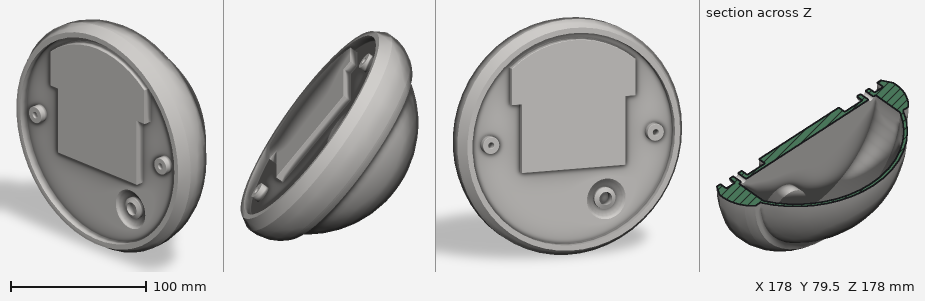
import cadquery as cq
import math


BEZEL_RADIUS = 89.0
BEZEL_ARC_RADIUS = 32.0
BEZEL_ARC_CENTER_Y = 11.5
RIM_RADIUS = 84.0
CHAMFER_Y = 8.3
SEAM_START_Y = 29.5
SEAM_END_Y = 31.0
FLANGE_Y = 35.3

TOTAL_DEPTH = 79.49
DOME_BASE_RADIUS = 146.21 / 2
DOME_WALL = 3.0
DOME_HEIGHT = TOTAL_DEPTH - FLANGE_Y
DOME_RADIUS = (DOME_BASE_RADIUS**2 + DOME_HEIGHT**2) / (2 * DOME_HEIGHT)
DOME_CENTER_Y = TOTAL_DEPTH - DOME_RADIUS

RECESS_RADIUS = 160.0 / 2
RECESS_FLOOR_FILLET = 0.6
PLATE_Y = 6.4
PLATE_THICKNESS = 3.0
PLATE_BACK_Y = PLATE_Y + PLATE_THICKNESS

DOOR_ARC_RADIUS = 74.9
DOOR_UPPER_HALF_WIDTH = 48.9
DOOR_LOWER_HALF_WIDTH = 40.9
DOOR_STEP_Z = 29.2
DOOR_BOTTOM_Z = -22.6
DOOR_FOOT_FILLET = 0.6

EDGE_ROUND = 0.3

SELECT_MARGIN = 0.1

POST_X = 65.0
POST_HEIGHT = 6.0
POST_TOP_RADIUS = 12.3 / 2
POST_RADIUS = POST_TOP_RADIUS + EDGE_ROUND
POST_HOLE_RADIUS = 4.6 / 2

DISH_X = 28.2
DISH_Z = -48.5
DISH_RIM_RADIUS = 15.3
DISH_LIP = 0.5
DISH_DEPTH = 5.5
DISH_WALL_BULGE = 0.6
CONE_BASE_RADIUS = 16.5 / 2
CONE_TOP_RADIUS = 10.0 / 2
CONE_TOP_DEPTH = 1.1
CONE_BASE_DEPTH = 2.7
BORE_DEPTH = 8.0
DISH_WALL = 3.0


def revolve_about_y(profile):
    return profile.close().revolve(360, (0, 0, 0), (0, 1, 0))


def cylinder_along_y(x, start_y, end_y, radius):
    """Cylinder from start_y to end_y, centered on (x, Z = 0)."""
    return cq.Workplane("XZ", origin=(x, end_y, 0)).circle(radius).extrude(end_y - start_y)


def bezel_point(y):
    """Point (radius, y) on the rounded side of the bezel."""
    rise = y - BEZEL_ARC_CENTER_Y
    return BEZEL_RADIUS - BEZEL_ARC_RADIUS + math.sqrt(BEZEL_ARC_RADIUS**2 - rise**2), y


def dome_point(sphere_radius, y):
    """Point (radius, y) on a sphere concentric with the dome."""
    return math.sqrt(sphere_radius**2 - (y - DOME_CENTER_Y) ** 2), y


def make_body():
    """Bezel and dome as one solid of revolution."""
    side_middle = bezel_point((CHAMFER_Y + SEAM_START_Y) / 2)
    flange_middle = bezel_point((SEAM_END_Y + FLANGE_Y) / 2)
    dome_middle = dome_point(DOME_RADIUS, FLANGE_Y + DOME_HEIGHT / 2)
    profile = (
        cq.Workplane("XY")
        .lineTo(RIM_RADIUS, 0)
        .lineTo(*bezel_point(CHAMFER_Y))
        .threePointArc(side_middle, bezel_point(SEAM_START_Y))
        .lineTo(*bezel_point(SEAM_END_Y))
        .threePointArc(flange_middle, bezel_point(FLANGE_Y))
        .lineTo(DOME_BASE_RADIUS, FLANGE_Y)
        .threePointArc(dome_middle, (0, TOTAL_DEPTH))
    )
    return revolve_about_y(profile)


def make_recess():
    return cylinder_along_y(0, 0, PLATE_Y, RECESS_RADIUS).faces(">Y").edges().fillet(RECESS_FLOOR_FILLET)


def make_cavity():
    """Hollow behind the plate: a cylinder that ends in the inside of the dome."""
    inner_radius = DOME_RADIUS - DOME_WALL
    edge = dome_point(inner_radius, FLANGE_Y)
    top_y = DOME_CENTER_Y + inner_radius
    middle = dome_point(inner_radius, (FLANGE_Y + top_y) / 2)
    profile = (
        cq.Workplane("XY")
        .moveTo(0, PLATE_BACK_Y)
        .lineTo(edge[0], PLATE_BACK_Y)
        .lineTo(*edge)
        .threePointArc(middle, (0, top_y))
    )
    return revolve_about_y(profile)


def foot_edges(x_range, z_range):
    """Selector for the edges on the plate's front face that lie within the given X and Z ranges."""
    low = (x_range[0] - SELECT_MARGIN, PLATE_Y - SELECT_MARGIN, z_range[0] - SELECT_MARGIN)
    high = (x_range[1] + SELECT_MARGIN, PLATE_Y + SELECT_MARGIN, z_range[1] + SELECT_MARGIN)
    return cq.selectors.BoxSelector(low, high, boundingbox=True)


def add_door(part):
    """Stepped panel with an arched top, a rounded front edge and a filleted foot."""
    corner_z = math.sqrt(DOOR_ARC_RADIUS**2 - DOOR_UPPER_HALF_WIDTH**2)
    door = (
        cq.Workplane("XZ", origin=(0, PLATE_Y, 0))
        .moveTo(-DOOR_LOWER_HALF_WIDTH, DOOR_BOTTOM_Z)
        .lineTo(DOOR_LOWER_HALF_WIDTH, DOOR_BOTTOM_Z)
        .lineTo(DOOR_LOWER_HALF_WIDTH, DOOR_STEP_Z)
        .lineTo(DOOR_UPPER_HALF_WIDTH, DOOR_STEP_Z)
        .lineTo(DOOR_UPPER_HALF_WIDTH, corner_z)
        .threePointArc((0, DOOR_ARC_RADIUS), (-DOOR_UPPER_HALF_WIDTH, corner_z))
        .lineTo(-DOOR_UPPER_HALF_WIDTH, DOOR_STEP_Z)
        .lineTo(-DOOR_LOWER_HALF_WIDTH, DOOR_STEP_Z)
        .close()
        .extrude(PLATE_Y)
        .faces("<Y")
        .edges()
        .fillet(EDGE_ROUND)
    )
    foot = foot_edges((-DOOR_UPPER_HALF_WIDTH, DOOR_UPPER_HALF_WIDTH), (DOOR_BOTTOM_Z, DOOR_ARC_RADIUS))
    return part.union(door).edges(foot).fillet(DOOR_FOOT_FILLET)


def add_post(part, x):
    """Post with a rounded top edge, a small flare at its foot and a hole with a rounded mouth."""
    top_y = PLATE_Y - POST_HEIGHT
    hole = cylinder_along_y(x, top_y, PLATE_BACK_Y, POST_HOLE_RADIUS)
    post = cylinder_along_y(x, top_y, PLATE_Y, POST_RADIUS).cut(hole).faces("<Y").edges().fillet(EDGE_ROUND)
    part = part.cut(hole).union(post)
    foot = foot_edges((x - POST_RADIUS, x + POST_RADIUS), (-POST_RADIUS, POST_RADIUS))
    return part.edges(foot).fillet(EDGE_ROUND)


def add_dish(part):
    """Back the plate with a boss, then sink the dish and the bore of its cone into it."""
    bore_end_y = CONE_TOP_DEPTH + BORE_DEPTH
    boss_radius = DISH_RIM_RADIUS + DISH_WALL
    boss = cq.Workplane("XZ").circle(boss_radius).extrude(-(bore_end_y + DISH_WALL))

    wall_radius = DISH_RIM_RADIUS - DISH_LIP
    wall_middle_radius = (wall_radius + CONE_BASE_RADIUS) / 2 + DISH_WALL_BULGE
    wall_middle_y = (DISH_LIP + DISH_DEPTH) / 2 + DISH_WALL_BULGE
    pocket = revolve_about_y(
        cq.Workplane("XY")
        .lineTo(DISH_RIM_RADIUS, 0)
        .lineTo(wall_radius, DISH_LIP)
        .threePointArc((wall_middle_radius, wall_middle_y), (CONE_BASE_RADIUS, DISH_DEPTH))
        .lineTo(CONE_BASE_RADIUS, CONE_BASE_DEPTH)
        .lineTo(CONE_TOP_RADIUS, CONE_TOP_DEPTH)
        .lineTo(CONE_TOP_RADIUS, bore_end_y)
        .lineTo(0, bore_end_y)
    )
    place = (DISH_X, PLATE_Y, DISH_Z)
    return part.union(boss.translate(place)).cut(pocket.translate(place))


def make_part():
    part = make_body().cut(make_recess()).cut(make_cavity())
    part = add_door(part)
    for x in (-POST_X, POST_X):
        part = add_post(part, x)
    return add_dish(part)


result = make_part()